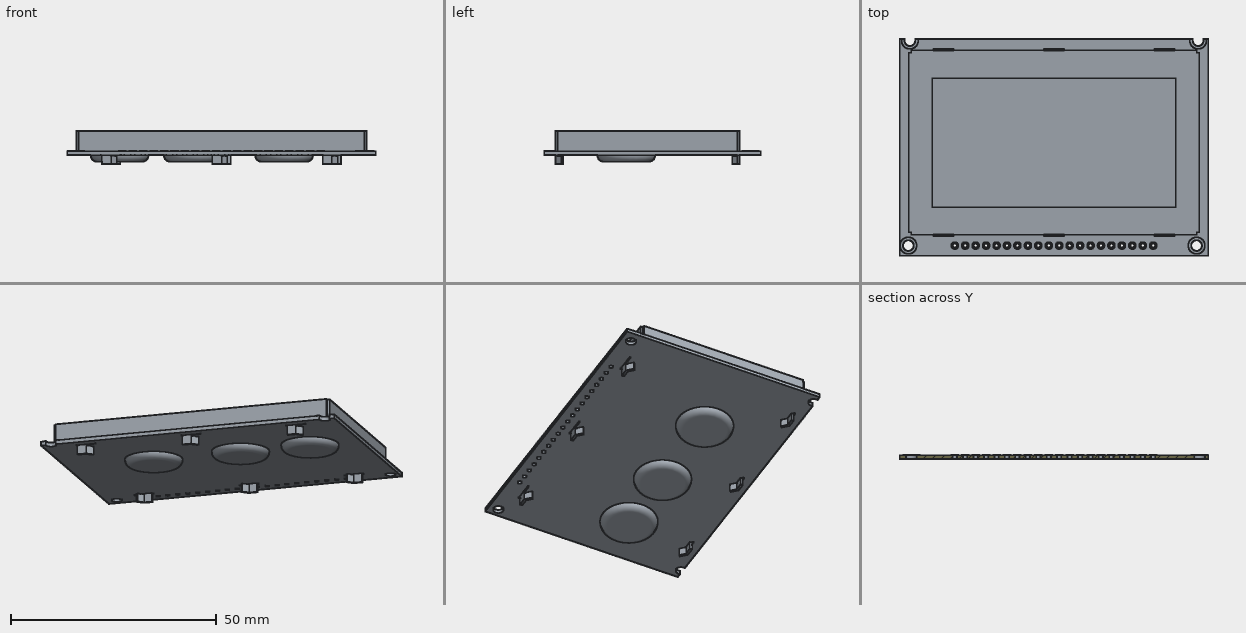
import cadquery as cq
import math

BOARD_LENGTH = 75.0
BOARD_WIDTH = 52.7
BOARD_THICKNESS = 1.0

FRAME_LENGTH = 70.5
FRAME_WIDTH = 44.8
FRAME_HEIGHT = 4.95
FRAME_CENTER_Y = 1.2
CORNER_NOTCH = 0.6

WINDOW_LENGTH = 59.25
WINDOW_WIDTH = 31.35
WINDOW_CENTER_Y = 1.1
WINDOW_DEPTH = 0.4

MOUNT_HOLE_DIAMETER = 2.55
MOUNT_PAD_DIAMETER = 4.05
PAD_THICKNESS = 0.1
FRONT_MOUNT_Y = -23.85
BACK_MOUNT_Y = 25.95
MOUNT_POINTS = [
    (-35.4, FRONT_MOUNT_Y),
    (34.65, FRONT_MOUNT_Y),
    (-35.0, BACK_MOUNT_Y),
    (35.0, BACK_MOUNT_Y),
]

PIN_COUNT = 20
PIN_ROW_LENGTH = 48.2
PIN_ROW_Y = FRONT_MOUNT_Y
PIN_HOLE_DIAMETER = 1.0
PIN_PAD_DIAMETER = 1.7

TAB_X = (-26.85, 0.0, 26.85)
TAB_HALF_WIDTH = 2.25
TAB_THICKNESS = CORNER_NOTCH
TAB_DROP = 2.2
TWIST_LENGTH = 2.0
TWIST_ANGLE = 45.0
TWIST_GAP = 0.15
SLOT_LENGTH = 4.95
SLOT_CLEARANCE = 0.3

DOME_X = (-24.75, -7.0, 15.2)
DOME_Y = 6.4
DOME_RADIUS = 7.05
DOME_HEIGHT = 1.65

PIN_PITCH = PIN_ROW_LENGTH / (PIN_COUNT - 1)
FRAME_FRONT_Y = FRAME_CENTER_Y - FRAME_WIDTH / 2
FRAME_TOP = BOARD_THICKNESS + FRAME_HEIGHT
PIN_POINTS = [(i * PIN_PITCH - PIN_ROW_LENGTH / 2, PIN_ROW_Y) for i in range(PIN_COUNT)]


def block(length, width, height, x, y, bottom):
    """Box centred on (x, y) and standing on the given height."""
    return cq.Workplane("XY").box(length, width, height, centered=(True, True, False)).translate((x, y, bottom))


def cylinders(points, diameter, bottom, height):
    """Equal upright cylinders at the given points."""
    return cq.Workplane("XY", origin=(0, 0, bottom)).pushPoints(points).circle(diameter / 2).extrude(height)


def make_board():
    """Board with raised pads, mounting holes and connector holes."""
    outline = block(BOARD_LENGTH, BOARD_WIDTH, BOARD_THICKNESS + PAD_THICKNESS, 0, 0, 0)
    board = block(BOARD_LENGTH, BOARD_WIDTH, BOARD_THICKNESS, 0, 0, 0)
    for points, pad, hole in (
        (MOUNT_POINTS, MOUNT_PAD_DIAMETER, MOUNT_HOLE_DIAMETER),
        (PIN_POINTS, PIN_PAD_DIAMETER, PIN_HOLE_DIAMETER),
    ):
        pads = cylinders(points, pad, 0, BOARD_THICKNESS + PAD_THICKNESS).intersect(outline)
        board = board.union(pads)
        board = board.cut(cylinders(points, hole, 0, FRAME_TOP))

    back_edge = BOARD_WIDTH / 2
    for x, y in MOUNT_POINTS:
        if y == BACK_MOUNT_Y:
            board = board.cut(block(MOUNT_HOLE_DIAMETER, 2 * (back_edge - y), FRAME_TOP, x, back_edge, 0))
    return board


def make_frame():
    """Frame with square corner notches and a recessed window."""
    frame = block(FRAME_LENGTH, FRAME_WIDTH, FRAME_HEIGHT, 0, FRAME_CENTER_Y, BOARD_THICKNESS)
    for side_x in (-1, 1):
        for side_y in (-1, 1):
            corner_x = side_x * FRAME_LENGTH / 2
            corner_y = FRAME_CENTER_Y + side_y * FRAME_WIDTH / 2
            notch = 2 * CORNER_NOTCH
            frame = frame.cut(block(notch, notch, FRAME_HEIGHT, corner_x, corner_y, BOARD_THICKNESS))
    window_floor = FRAME_TOP - WINDOW_DEPTH
    return frame.cut(block(WINDOW_LENGTH, WINDOW_WIDTH, WINDOW_DEPTH, 0, WINDOW_CENTER_Y, window_floor))


def front_slot(x):
    """Clearance slot through the board, just outside the front of the frame."""
    return block(SLOT_LENGTH, SLOT_CLEARANCE, BOARD_THICKNESS, x, FRAME_FRONT_Y - SLOT_CLEARANCE / 2, 0)


def front_tab(x):
    """Tab of the front side: a flat half and a half twisted toward the inside."""
    flat = block(
        TAB_HALF_WIDTH, TAB_THICKNESS, TAB_DROP,
        x - TAB_HALF_WIDTH / 2, FRAME_FRONT_Y + TAB_THICKNESS / 2, -TAB_DROP,
    )
    angle = math.radians(TWIST_ANGLE)
    along = (TWIST_LENGTH * math.cos(angle), TWIST_LENGTH * math.sin(angle))
    across = (-TAB_THICKNESS * math.sin(angle), TAB_THICKNESS * math.cos(angle))
    twisted = (
        cq.Workplane("XY", origin=(x, FRAME_FRONT_Y, -TAB_DROP))
        .polyline([(0, 0), along, (along[0] + across[0], along[1] + across[1]), across])
        .close()
        .extrude(TAB_DROP - TWIST_GAP)
    )
    return flat.union(twisted)


def on_back_side(shape):
    """Half-turned copy of a front-side shape, for the back of the frame."""
    return shape.rotate((0, FRAME_CENTER_Y, 0), (0, FRAME_CENTER_Y, 1), 180)


def make_dome(x):
    """Round dome below the board: a flat bottom with a quarter-round edge up to the board."""
    flat_radius = DOME_RADIUS - DOME_HEIGHT
    edge_middle = DOME_HEIGHT * math.sqrt(0.5)
    profile = (
        cq.Workplane("XZ")
        .lineTo(-DOME_RADIUS, 0)
        .threePointArc((-flat_radius - edge_middle, -edge_middle), (-flat_radius, -DOME_HEIGHT))
        .lineTo(0, -DOME_HEIGHT)
        .close()
    )
    return profile.revolve(360, (0, 0, 0), (0, 1, 0)).translate((x, DOME_Y, 0))


result = make_board().union(make_frame())
for tab_x in TAB_X:
    slot = front_slot(tab_x)
    tab = front_tab(tab_x)
    result = result.cut(slot).cut(on_back_side(slot))
    result = result.union(tab).union(on_back_side(tab))
for dome_x in DOME_X:
    result = result.union(make_dome(dome_x))